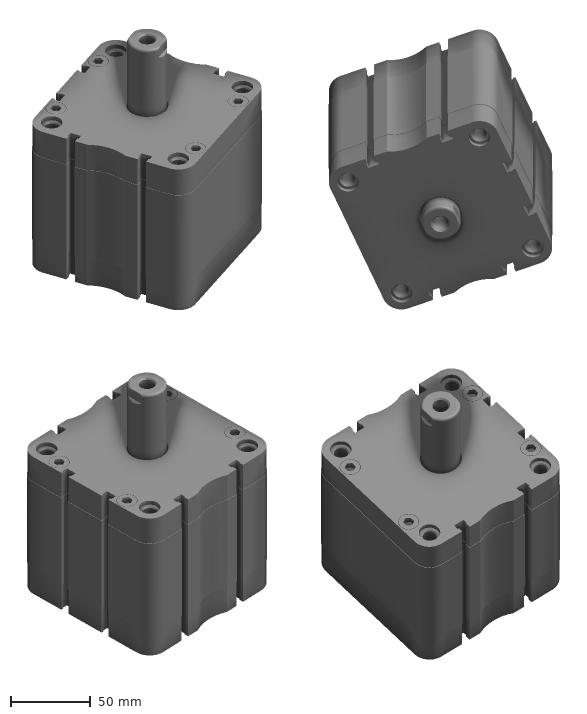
import cadquery as cq
import math


BODY_SIZE = 113.5
BODY_HEIGHT = 107.0
COVER_HEIGHT = 19.5
BARREL_HEIGHT = BODY_HEIGHT - 2 * COVER_HEIGHT
TOP_COVER_BASE = BODY_HEIGHT - COVER_HEIGHT
CORNER_RADIUS = 12.0
COVER_INSET = 0.25

NECK_WIDTH = 5.5
CAVITY_WIDTH = 7.0
WIDE_FACE_SLOT_OFFSET = 25.0
WIDE_FACE_NECK_DEPTH = 3.8
WIDE_FACE_SLOT_DEPTH = 6.9
SIDE_FACE_SLOT_OFFSET = 17.4
SIDE_FACE_NECK_DEPTH = 2.2
SIDE_FACE_SLOT_DEPTH = 5.8

DIP_HALF_WIDTH = 13.3
DIP_DEPTH = 3.0

ROD_DIAMETER = 25.0
ROD_TOP_LENGTH = 50.0
ROD_BOTTOM_LENGTH = 10.0
ROD_END_RADIUS = 1.8
ROD_BOTTOM_Z = -ROD_BOTTOM_LENGTH
ROD_TOP_Z = BODY_HEIGHT + ROD_TOP_LENGTH
FLAT_ACROSS = 22.0
FLAT_LENGTH = 7.0
FLAT_DEPTH = (ROD_DIAMETER - FLAT_ACROSS) / 2
ROD_HOLE_DIAMETER = 10.11
ROD_HOLE_MOUTH_DIAMETER = 12.0
ROD_HOLE_DEPTH = 24.0
DRILL_POINT_ANGLE = 118.0

ROD_BORE_DIAMETER = 25.6
ROD_BORE_MOUTH_DIAMETER = 26.9

MOUNT_OFFSET = 44.5
MOUNT_RECESS_DIAMETER = 13.5
MOUNT_RECESS_DEPTH = 3.0
MOUNT_HOLE_DIAMETER = 8.57
MOUNT_MOUTH_DIAMETER = 10.11

SCREW_X = 49.15
SCREW_Y = 29.3
SCREW_HEAD_DIAMETER = 12.6
SCREW_HEAD_HEIGHT = 8.0
SCREW_RECESS_DIAMETER = 13.1
SCREW_SHANK_DIAMETER = 8.0
SCREW_BARREL_DEPTH = 12.0
SOCKET_ACROSS_FLATS = 6.2
SOCKET_DEPTH = 4.0

CORNERS = [(-1, -1), (-1, 1), (1, -1), (1, 1)]
MOUNT_POINTS = [(sx * MOUNT_OFFSET, sy * MOUNT_OFFSET) for sx, sy in CORNERS]
SCREW_POINTS = [(sx * SCREW_X, sy * SCREW_Y) for sx, sy in CORNERS]


def cylinder(diameter, bottom, height, x=0, y=0):
    """Upright cylinder standing on the level `bottom`."""
    return cq.Workplane("XY", origin=(x, y, bottom)).circle(diameter / 2).extrude(height)


def cone(bottom_diameter, top_diameter, bottom, height, x=0, y=0):
    """Upright cone or frustum standing on the level `bottom`."""
    origin = cq.Vector(x, y, bottom)
    return cq.Workplane(cq.Solid.makeCone(bottom_diameter / 2, top_diameter / 2, height, origin))


def slot(neck_depth, depth, height, inset):
    """T-shaped slot cutter along Z, opening in the +Y face at X = 0, every wall set back by `inset`."""
    face = BODY_SIZE / 2
    floor = face - depth - inset
    lip = face - neck_depth + inset
    base = cq.Workplane("XY")
    neck = base.center(0, (floor + face) / 2).rect(NECK_WIDTH + 2 * inset, face - floor).extrude(height)
    cavity = base.center(0, (floor + lip) / 2).rect(CAVITY_WIDTH + 2 * inset, lip - floor).extrude(height)
    return neck.union(cavity)


def dip(height, inset):
    """Cutter for the dip in the +Y face, its arc set back by `inset`."""
    radius = (DIP_HALF_WIDTH**2 + DIP_DEPTH**2) / (2 * DIP_DEPTH)
    axis_y = BODY_SIZE / 2 - DIP_DEPTH + radius
    return cq.Workplane("XY").center(0, axis_y).circle(radius + inset).extrude(height)


def profile_block(height, inset=0.0):
    """Rounded square block with the slots and dips of the body profile, standing on Z = 0."""
    width = BODY_SIZE - 2 * inset
    block = cq.Workplane("XY").rect(width, width).extrude(height)
    block = block.edges("|Z").fillet(CORNER_RADIUS)
    side_slot = slot(SIDE_FACE_NECK_DEPTH, SIDE_FACE_SLOT_DEPTH, height, inset)
    side_slot = side_slot.rotate((0, 0, 0), (0, 0, 1), 90)
    wide_slot = slot(WIDE_FACE_NECK_DEPTH, WIDE_FACE_SLOT_DEPTH, height, inset)
    face_dip = dip(height, inset)
    block = block.cut(face_dip).cut(face_dip.mirror("XZ"))
    for side in (-1, 1):
        block = block.cut(side_slot.translate((0, side * SIDE_FACE_SLOT_OFFSET, 0)))
        face_slot = wide_slot.translate((side * WIDE_FACE_SLOT_OFFSET, 0, 0))
        block = block.cut(face_slot).cut(face_slot.mirror("XZ"))
    return block


def plain_cover():
    """Cover with rod bore and mounting holes, its outer face up at Z = COVER_HEIGHT."""
    cover = profile_block(COVER_HEIGHT, COVER_INSET)
    cover = cover.cut(cylinder(ROD_BORE_DIAMETER, 0, COVER_HEIGHT))
    bore_chamfer = (ROD_BORE_MOUTH_DIAMETER - ROD_BORE_DIAMETER) / 2
    bore_mouth = cone(ROD_BORE_DIAMETER, ROD_BORE_MOUTH_DIAMETER, COVER_HEIGHT - bore_chamfer, bore_chamfer)
    cover = cover.cut(bore_mouth)
    mouth_height = (MOUNT_MOUTH_DIAMETER - MOUNT_HOLE_DIAMETER) / 2
    recess_floor = COVER_HEIGHT - MOUNT_RECESS_DEPTH
    for x, y in MOUNT_POINTS:
        cover = cover.cut(cylinder(MOUNT_HOLE_DIAMETER, 0, COVER_HEIGHT, x, y))
        mouth_base = recess_floor - mouth_height
        cover = cover.cut(cone(MOUNT_HOLE_DIAMETER, MOUNT_MOUTH_DIAMETER, mouth_base, mouth_height, x, y))
        cover = cover.cut(cylinder(MOUNT_RECESS_DIAMETER, recess_floor, MOUNT_RECESS_DEPTH, x, y))
    return cover


def make_bottom_cover():
    return plain_cover().mirror("XY").translate((0, 0, COVER_HEIGHT))


def make_top_cover():
    cover = plain_cover().translate((0, 0, TOP_COVER_BASE))
    recess_floor = BODY_HEIGHT - SCREW_HEAD_HEIGHT
    for x, y in SCREW_POINTS:
        cover = cover.cut(cylinder(SCREW_RECESS_DIAMETER, recess_floor, SCREW_HEAD_HEIGHT, x, y))
        cover = cover.cut(cylinder(SCREW_SHANK_DIAMETER, TOP_COVER_BASE, COVER_HEIGHT, x, y))
    return cover


def rod_end_cut():
    """Wrench flats and centre hole of a rod end whose end face is up at Z = 0."""
    run_out = FLAT_LENGTH + FLAT_DEPTH
    flat = (
        cq.Workplane("XZ")
        .moveTo(FLAT_ACROSS / 2, 0)
        .lineTo(FLAT_ACROSS / 2, -FLAT_LENGTH)
        .lineTo(ROD_DIAMETER / 2, -run_out)
        .lineTo(ROD_DIAMETER, -run_out)
        .lineTo(ROD_DIAMETER, 0)
        .close()
        .extrude(ROD_DIAMETER / 2, both=True)
    )
    point_height = ROD_HOLE_DIAMETER / 2 / math.tan(math.radians(DRILL_POINT_ANGLE / 2))
    mouth_height = (ROD_HOLE_MOUTH_DIAMETER - ROD_HOLE_DIAMETER) / 2
    hole = cylinder(ROD_HOLE_DIAMETER, -ROD_HOLE_DEPTH, ROD_HOLE_DEPTH)
    hole = hole.union(cone(0, ROD_HOLE_DIAMETER, -ROD_HOLE_DEPTH - point_height, point_height))
    hole = hole.union(cone(ROD_HOLE_DIAMETER, ROD_HOLE_MOUTH_DIAMETER, -mouth_height, mouth_height))
    return [flat, flat.mirror("YZ"), hole]


def make_barrel_with_rod():
    barrel = profile_block(BARREL_HEIGHT)
    barrel = barrel.translate((0, 0, COVER_HEIGHT))
    rod = cylinder(ROD_DIAMETER, ROD_BOTTOM_Z, ROD_TOP_Z - ROD_BOTTOM_Z)
    rod = rod.faces("<Z or >Z").fillet(ROD_END_RADIUS)
    for cutter in rod_end_cut():
        rod = rod.cut(cutter.translate((0, 0, ROD_TOP_Z)))
        rod = rod.cut(cutter.mirror("XY").translate((0, 0, ROD_BOTTOM_Z)))
    for x, y in SCREW_POINTS:
        thread_base = TOP_COVER_BASE - SCREW_BARREL_DEPTH
        barrel = barrel.cut(cylinder(SCREW_SHANK_DIAMETER, thread_base, SCREW_BARREL_DEPTH, x, y))
    return barrel.union(rod)


def make_screw(x, y):
    """Socket head screw through the top cover into the barrel."""
    head_base = BODY_HEIGHT - SCREW_HEAD_HEIGHT
    shank_base = TOP_COVER_BASE - SCREW_BARREL_DEPTH
    head = cylinder(SCREW_HEAD_DIAMETER, head_base, SCREW_HEAD_HEIGHT, x, y)
    screw = head.union(cylinder(SCREW_SHANK_DIAMETER, shank_base, head_base - shank_base, x, y))
    socket_corner_diameter = SOCKET_ACROSS_FLATS / math.cos(math.pi / 6)
    socket = cq.Workplane("XY").polygon(6, socket_corner_diameter).extrude(SOCKET_DEPTH)
    socket = socket.rotate((0, 0, 0), (0, 0, 1), 30)
    return screw.cut(socket.translate((x, y, BODY_HEIGHT - SOCKET_DEPTH)))


barrel_with_rod = make_barrel_with_rod()
top_cover = make_top_cover()
bottom_cover = make_bottom_cover()
screws = [make_screw(x, y) for x, y in SCREW_POINTS]

result = cq.Compound.makeCompound(
    [barrel_with_rod.val(), top_cover.val(), bottom_cover.val(), *[screw.val() for screw in screws]]
)